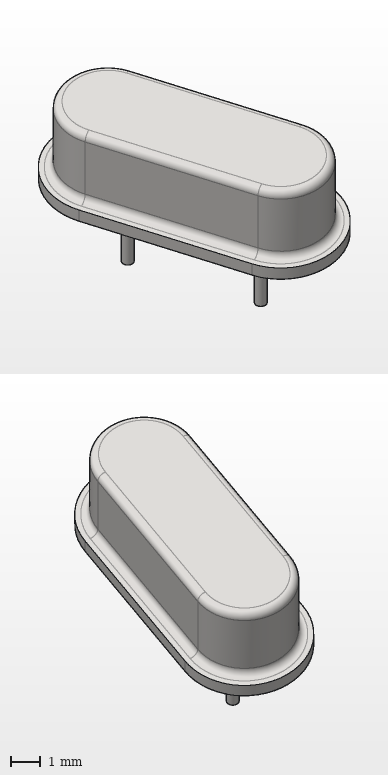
import cadquery as cq

flange_length = 11.0
flange_width = 4.65
flange_thickness = 0.52
arc_spacing = flange_length - flange_width

can_width = 3.65
can_height = 2.98
edge_radius = 0.3

pin_diameter = 0.44
pin_spacing = 4.88
pin_length = 3.5


def stadium(width, height, base_z):
    """Upright stadium prism centred on the Z axis, long side along X."""
    return (
        cq.Workplane("XY")
        .workplane(offset=base_z)
        .slot2D(arc_spacing + width, width)
        .extrude(height)
    )


flange = stadium(flange_width, flange_thickness, 0)

can = stadium(can_width, can_height, flange_thickness)
can = can.faces(">Z").edges().fillet(edge_radius)

body = flange.union(can)
mean_width = (can_width + flange_width) / 2
reach_x = (arc_spacing + mean_width) / 2
reach_y = mean_width / 2
reach_z = flange_thickness / 2
foot_edges = cq.selectors.BoxSelector(
    (-reach_x, -reach_y, flange_thickness - reach_z),
    (reach_x, reach_y, flange_thickness + reach_z),
    boundingbox=True,
)
body = body.edges(foot_edges).fillet(edge_radius)

pins = (
    cq.Workplane("XY")
    .pushPoints([(-pin_spacing / 2, 0), (pin_spacing / 2, 0)])
    .circle(pin_diameter / 2)
    .extrude(-pin_length)
)

result = body.union(pins)